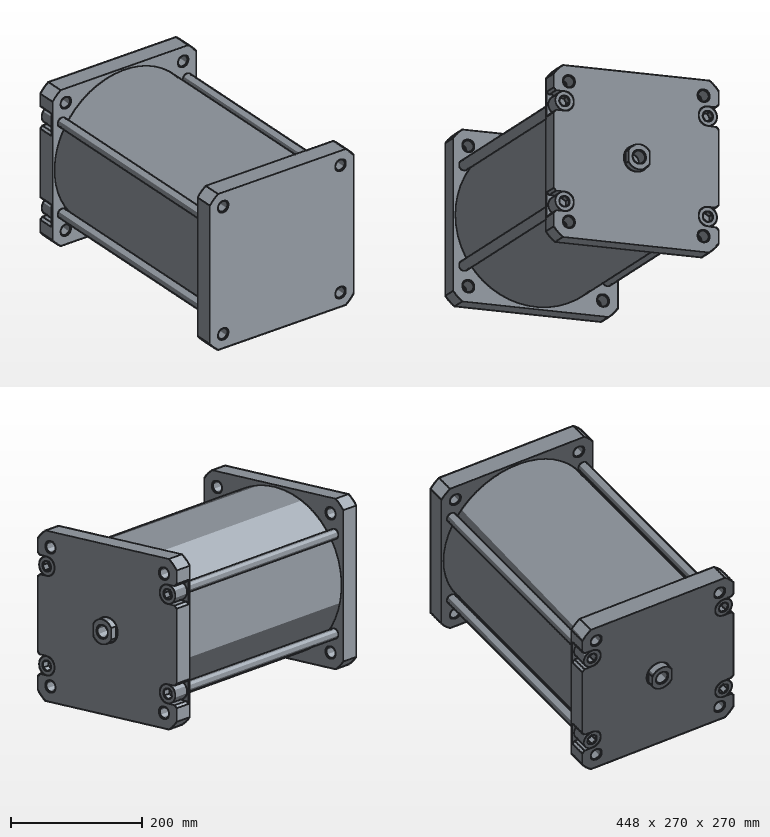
import cadquery as cq
import math

total_length = 448.0
rod_projection = 12.0
plate_thickness = 32.0
front_plate_x = rod_projection
barrel_x = front_plate_x + plate_thickness
rear_plate_x = total_length - plate_thickness
barrel_length = rear_plate_x - barrel_x

plate_side = 270.0
corner_setback = 15.2
corner_bulge = 1.0
mount_hole_offset = 110.0
mount_hole_diameter = 17.5
mount_hole_bevel = 1.5

barrel_diameter = 263.0

bolt_y = 117.5
bolt_z = 79.0
bolt_shank_diameter = 16.0
bolt_head_diameter = 30.0
bolt_head_length = 28.0
socket_width = 15.0
socket_depth = 13.5
socket_mouth_diameter = 17.0
upper_socket_turn = 30.0

notch_clearance = 0.5
notch_lip_bevel = 4.0

rod_diameter = 39.5
rod_bore_bevel = 1.0
rod_flat_width = 35.0
rod_flat_length = 10.8
rod_hole_diameter = 19.5
rod_hole_bevel = 1.5
rod_hole_depth = 27.0
drill_point_angle = 118.0


def four_corners(y, z):
    """The four points mirrored about both the Y and Z axes."""
    return [(y_sign * y, z_sign * z) for y_sign in (-1, 1) for z_sign in (-1, 1)]


mount_hole_positions = four_corners(mount_hole_offset, mount_hole_offset)
bolt_positions = four_corners(bolt_y, bolt_z)


def section_at(x):
    """Sketch plane across the axis: local x is Y, local y is Z, extruding toward +X."""
    return cq.Workplane("YZ", origin=(x, 0, 0))


def make_cone(x, start_radius, end_radius, length, y=0.0, z=0.0):
    """Cone frustum pointing along X; a negative length runs toward -X."""
    direction = cq.Vector(math.copysign(1, length), 0, 0)
    return cq.Workplane(
        cq.Solid.makeCone(start_radius, end_radius, abs(length), cq.Vector(x, y, z), direction)
    )


def make_plate(x):
    """Square plate with bowed corners and four mounting holes."""
    half = plate_side / 2
    flat = half - corner_setback
    corner = half - corner_setback / 2 + corner_bulge / math.sqrt(2)
    outline = (
        section_at(x)
        .moveTo(-flat, -half)
        .lineTo(flat, -half)
        .threePointArc((corner, -corner), (half, -flat))
        .lineTo(half, flat)
        .threePointArc((corner, corner), (flat, half))
        .lineTo(-flat, half)
        .threePointArc((-corner, corner), (-half, flat))
        .lineTo(-half, -flat)
        .threePointArc((-corner, -corner), (-flat, -half))
        .close()
    )
    plate = outline.extrude(plate_thickness)
    radius = mount_hole_diameter / 2
    mouth = radius + mount_hole_bevel
    for y, z in mount_hole_positions:
        hole = section_at(x).center(y, z).circle(radius).extrude(plate_thickness)
        front_mouth = make_cone(x, mouth, radius, mount_hole_bevel, y, z)
        rear_mouth = make_cone(x + plate_thickness, mouth, radius, -mount_hole_bevel, y, z)
        plate = plate.cut(hole).cut(front_mouth).cut(rear_mouth)
    return plate


def make_bolt_notch(y, z):
    """Round-ended notch for a bolt head, open to the nearest plate side with a bevelled lip."""
    side = math.copysign(1, y)
    edge = side * plate_side / 2
    lip = edge - side * notch_lip_bevel
    radius = bolt_head_diameter / 2 + notch_clearance
    mouth = radius + notch_lip_bevel
    return (
        section_at(front_plate_x)
        .moveTo(edge, z + mouth)
        .lineTo(lip, z + radius)
        .lineTo(y, z + radius)
        .threePointArc((y - side * radius, z), (y, z - radius))
        .lineTo(lip, z - radius)
        .lineTo(edge, z - mouth)
        .close()
        .extrude(bolt_head_length)
    )


def make_front_plate():
    """Plate with a bevelled rod bore and a notch and shank bore for each tie bolt."""
    plate = make_plate(front_plate_x)
    rod_radius = rod_diameter / 2
    rod_bore = section_at(front_plate_x).circle(rod_radius).extrude(plate_thickness)
    shank_bores = (
        section_at(front_plate_x)
        .pushPoints(bolt_positions)
        .circle(bolt_shank_diameter / 2)
        .extrude(plate_thickness)
    )
    bore_mouth = make_cone(front_plate_x, rod_radius + rod_bore_bevel, rod_radius, rod_bore_bevel)
    plate = plate.cut(rod_bore).cut(bore_mouth).cut(shank_bores)
    for y, z in bolt_positions:
        plate = plate.cut(make_bolt_notch(y, z))
    return plate


def make_barrel():
    """Plain cylinder held between the two plates."""
    return section_at(barrel_x).circle(barrel_diameter / 2).extrude(barrel_length)


def make_tie_bolt(y, z):
    """Socket-head bolt running from the front plate face to the rear plate."""
    head = section_at(front_plate_x).center(y, z).circle(bolt_head_diameter / 2).extrude(bolt_head_length)
    shank = (
        section_at(front_plate_x)
        .center(y, z)
        .circle(bolt_shank_diameter / 2)
        .extrude(rear_plate_x - front_plate_x)
    )
    turn = upper_socket_turn if z > 0 else 0.0
    socket = (
        section_at(front_plate_x)
        .polygon(6, socket_width, circumscribed=True)
        .extrude(socket_depth)
        .rotate((0, 0, 0), (1, 0, 0), turn)
        .translate((0, y, z))
    )
    mouth_radius = socket_mouth_diameter / 2
    socket_mouth = make_cone(front_plate_x, mouth_radius, 0, mouth_radius, y, z)
    return head.union(shank).cut(socket).cut(socket_mouth)


def make_piston_rod():
    """Rod through the front plate, with two wrench flats and a drilled end."""
    rod = section_at(0).circle(rod_diameter / 2).extrude(barrel_x)
    flat_zone = section_at(0).rect(rod_diameter, rod_diameter).extrude(rod_flat_length)
    kept_zone = section_at(0).rect(rod_flat_width, rod_diameter).extrude(rod_flat_length)
    hole_radius = rod_hole_diameter / 2
    point_length = hole_radius / math.tan(math.radians(drill_point_angle / 2))
    drilled_hole = section_at(0).circle(hole_radius).extrude(rod_hole_depth)
    drill_point = make_cone(rod_hole_depth, hole_radius, 0, point_length)
    hole_mouth = make_cone(0, hole_radius + rod_hole_bevel, hole_radius, rod_hole_bevel)
    rod = rod.cut(flat_zone.cut(kept_zone))
    return rod.cut(drilled_hole).cut(drill_point).cut(hole_mouth)


front_plate = make_front_plate()
rear_plate = make_plate(rear_plate_x)
barrel = make_barrel()
piston_rod = make_piston_rod()
tie_bolts = [make_tie_bolt(y, z) for y, z in bolt_positions]

result = cq.Compound.makeCompound(
    [front_plate.val(), rear_plate.val(), barrel.val(), piston_rod.val()]
    + [bolt.val() for bolt in tie_bolts]
)